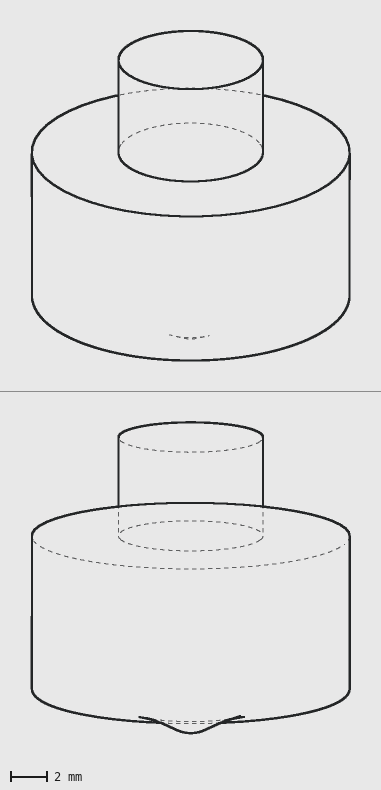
import cadquery as cq

body_diameter = 17.6
pin_diameter = 8.0
total_height = 16.7
pin_height = 5.58
rim_height = 2.38
rim_round_radius = 0.15
cone_end_radius = 4.01
cone_end_height = 1.48
flare_radius = 12.32
tip_radius = 0.88
tip_height = 0.23

body_radius = body_diameter / 2
pin_radius = pin_diameter / 2
shoulder_height = total_height - pin_height

cap_sphere_radius = (tip_radius**2 + tip_height**2) / (2 * tip_height)

profile = (
    cq.Workplane("XZ")
    .moveTo(0, total_height)
    .lineTo(pin_radius, total_height)
    .lineTo(pin_radius, shoulder_height)
    .lineTo(body_radius, shoulder_height)
    .lineTo(body_radius, rim_height)
    .lineTo(cone_end_radius, cone_end_height)
    .radiusArc((tip_radius, tip_height), -flare_radius)
    .radiusArc((0, 0), cap_sphere_radius)
    .close()
)
turned_part = profile.revolve(360, (0, 0, 0), (0, 1, 0))

rim_centre = (0, 0, rim_height)
rim_edge = cq.selectors.NearestToPointSelector(rim_centre)
result = turned_part.edges(rim_edge).fillet(rim_round_radius)